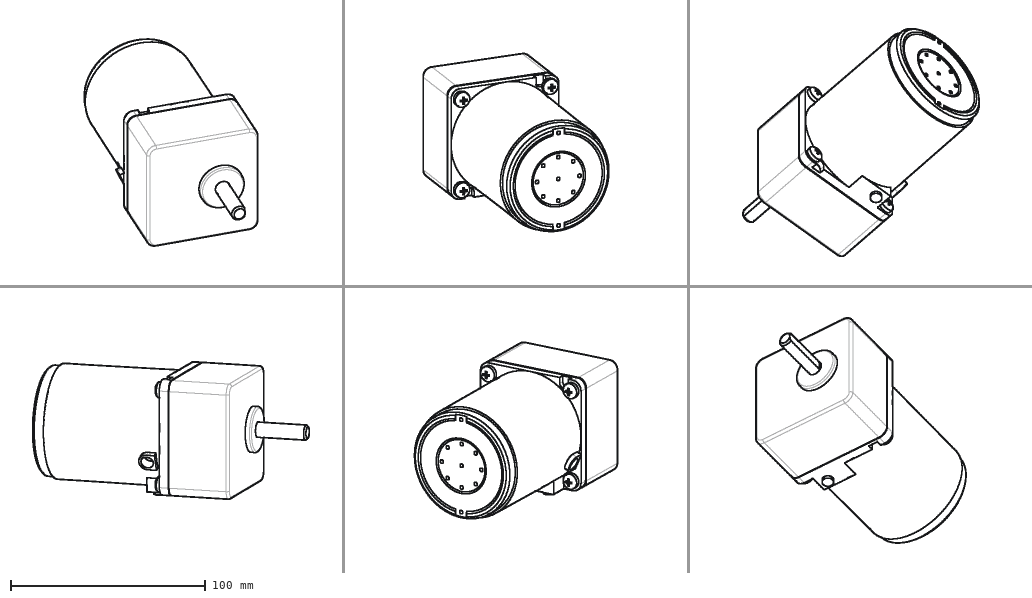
import cadquery as cq
import math


overall_length = 137.0
cap_length = 6.7
barrel_length = 62.9
flange_thickness = 5.0
gearhead_length = 32.5
boss_height = 3.0
flange_back = cap_length + barrel_length
gearhead_back = flange_back + flange_thickness
gearhead_front = gearhead_back + gearhead_length
boss_front = gearhead_front + boss_height

frame_size = 60.5
corner_radius = 5.0
joint_chamfer = 0.3
front_edge_radius = 1.4

barrel_small_radius = 30.0
barrel_large_radius = frame_size / 2
cavity_radius = 26.6
cap_radius = 28.8
cap_chamfer = 1.4
dish_rim_radius = 25.6
dish_floor_radius = 24.5
dish_depth = 0.4
centre_dish_rim_radius = 15.1
centre_dish_floor_radius = 14.1
centre_dish_depth = 0.4
channel_width = 6.6
dimple_radius = 1.0
dimple_depth = 1.0
dimple_circle_radius = 11.9
dimple_count = 8
channel_dimple_offset = 25.3

screw_offset = 24.8
head_radius = 4.1
head_rim = 2.0
head_height = 3.8
shank_radius = 2.0
shank_length = 16.5
recess_span = 4.4
recess_width = 0.8
recess_depth = 2.2

notch_depth = 3.0
notch_inner = 17.4
notch_outer = 22.7
notch_corner_radius = 2.5
notch_clearance_radius = 3.0

lug_length = 10.1
lug_side = 19.9
earth_screw_x = 64.4
earth_screw_y = -14.1
earth_head_radius = 3.0
earth_head_rim = 1.6
earth_head_height = 2.5
earth_shank_radius = 1.5
earth_shank_length = 5.5

outlet_x = 62.9
outlet_tilt = 23.0
outlet_face_distance = 32.6
outlet_root_distance = 24.7
outlet_radius = 4.5
outlet_straight = 4.5
outlet_hole_radius = 3.3

shaft_y = 9.7
shaft_radius = 4.0
shaft_flat = 3.0
shaft_full_round = 0.5
shaft_seat_depth = 11.0
shaft_chamfer = 1.0
boss_radius = 11.9
boss_edge_radius = 0.8

SCREW_PLACES = [(y, z) for y in (-screw_offset, screw_offset) for z in (-screw_offset, screw_offset)]


def plane_at(x, y=0.0, z=0.0):
    """Plane facing +X whose local axes are Y and Z."""
    return cq.Plane(origin=(x, y, z), xDir=(0, 1, 0), normal=(1, 0, 0))


def x_cylinder(x, length, radius, y=0.0, z=0.0):
    return cq.Workplane(plane_at(x, y, z)).circle(radius).extrude(length)


def x_cone(x, length, start_radius, end_radius):
    """Frustum or pointed cone along +X, centred on the motor axis."""
    profile = [(x, 0), (x, start_radius), (x + length, end_radius)]
    if end_radius > 0:
        profile.append((x + length, 0))
    return cq.Workplane("XY").polyline(profile).close().revolve(360, (0, 0, 0), (1, 0, 0))


def frame_block(x, length):
    block = cq.Workplane(plane_at(x)).rect(frame_size, frame_size).extrude(length)
    return block.edges("|X").fillet(corner_radius)


def screw_shank_holes():
    """Tools for the four holes that take the flange screw shanks."""
    centres = cq.Workplane(plane_at(flange_back)).pushPoints(SCREW_PLACES)
    return centres.circle(shank_radius).extrude(shank_length)



def dimple_places():
    """Centre and circle in the centre dish, plus one dimple in each end of the channel."""
    centre_floor = dish_depth + centre_dish_depth
    places = [(centre_floor, 0, 0)]
    for i in range(dimple_count):
        angle = 2 * math.pi * i / dimple_count
        y = dimple_circle_radius * math.cos(angle)
        z = dimple_circle_radius * math.sin(angle)
        places.append((centre_floor, y, z))
    places += [(dish_depth, 0, z) for z in (-channel_dimple_offset, channel_dimple_offset)]
    return places


def make_end_cap():
    cap = x_cylinder(0, cap_length, cap_radius).faces("<X").edges().chamfer(cap_chamfer)
    cap = cap.cut(x_cone(0, dish_depth, dish_rim_radius, dish_floor_radius))
    cap = cap.cut(cq.Workplane(plane_at(0)).rect(channel_width, 2 * cap_radius).extrude(dish_depth))
    cap = cap.cut(x_cone(dish_depth, centre_dish_depth, centre_dish_rim_radius, centre_dish_floor_radius))
    for place in dimple_places():
        cap = cap.cut(x_cone(0, dimple_depth, dimple_radius, 0).translate(place))
    return cap


def make_notch():
    """Recess in the flange, open at the +Z edge, that runs into the screw at (-Y, +Z)."""
    height = frame_size / 2 - screw_offset
    width = notch_outer - notch_inner
    slot = (
        cq.Workplane(plane_at(flange_back, -(notch_inner + notch_outer) / 2, screw_offset + height / 2))
        .rect(width, height)
        .extrude(notch_depth)
        .edges("|X and >Y and <Z")
        .fillet(notch_corner_radius)
    )
    clearance = x_cylinder(flange_back, notch_depth, notch_clearance_radius, -screw_offset, screw_offset)
    return slot.union(clearance)


def make_flange():
    flange = frame_block(flange_back, flange_thickness)
    notch = make_notch()
    flange = flange.cut(notch)
    return flange.cut(notch.rotate((0, 0, 0), (1, 0, 0), 180))


def make_earth_lug():
    """Block that fills the space between the barrel and the level of the flange underside."""
    lug_height = frame_size / 2
    lug = cq.Workplane("XY").box(lug_length, lug_side, lug_height, centered=False)
    return lug.translate((flange_back - lug_length, -lug_side, -lug_height))


def outlet_plane(distance):
    """Plane facing outward along the outlet axis, at a distance from the motor axis."""
    tilt = math.radians(outlet_tilt)
    outward = (0, -math.cos(tilt), -math.sin(tilt))
    origin = (outlet_x, distance * outward[1], distance * outward[2])
    return cq.Plane(origin=origin, xDir=(1, 0, 0), normal=outward)


def make_cable_outlet():
    """Hood that is round at the cap end and square at the flange end."""
    return (
        cq.Workplane(outlet_plane(outlet_root_distance))
        .moveTo(0, outlet_radius)
        .lineTo(outlet_straight, outlet_radius)
        .lineTo(outlet_straight, -outlet_radius)
        .lineTo(0, -outlet_radius)
        .threePointArc((-outlet_radius, 0), (0, outlet_radius))
        .close()
        .extrude(outlet_face_distance - outlet_root_distance)
    )


def make_outlet_hole():
    """Hole from the outlet face into the hollow inside of the barrel."""
    return cq.Workplane(outlet_plane(0)).circle(outlet_hole_radius).extrude(outlet_face_distance)


def make_motor():
    """Hollow barrel, closed by the end cap at the back and by the flange at the front."""
    motor = x_cone(cap_length, barrel_length, barrel_small_radius, barrel_large_radius)
    motor = motor.union(make_end_cap()).union(make_flange())
    motor = motor.union(make_earth_lug()).union(make_cable_outlet())
    cavity = x_cylinder(cap_length, barrel_length, cavity_radius)
    motor = motor.cut(cavity).cut(make_outlet_hole())
    return motor.cut(screw_shank_holes()).cut(make_earth_screw())



def make_gearhead():
    gearhead = frame_block(gearhead_back, gearhead_length)
    gearhead = gearhead.faces(">X").edges().fillet(front_edge_radius)
    gearhead = gearhead.faces("<X").edges().chamfer(joint_chamfer)
    boss = x_cylinder(gearhead_front, boss_height, boss_radius, shaft_y)
    gearhead = gearhead.union(boss.faces(">X").edges().fillet(boss_edge_radius))
    shaft_seat = x_cylinder(boss_front - shaft_seat_depth, shaft_seat_depth, shaft_radius, shaft_y)
    return gearhead.cut(shaft_seat).cut(screw_shank_holes())



def make_shaft():
    back = boss_front - shaft_seat_depth
    shaft = x_cylinder(back, overall_length - back, shaft_radius, shaft_y)
    shaft = shaft.faces(">X").edges().chamfer(shaft_chamfer)
    flat_start = boss_front + shaft_full_round
    flat_cut = cq.Workplane("XY").box(
        overall_length - flat_start, shaft_radius, 2 * shaft_radius, centered=(False, False, True)
    )
    return shaft.cut(flat_cut.translate((flat_start, shaft_y + shaft_flat, 0)))



def make_pan_head_screw(radius, rim, height, shank, length):
    """Screw along +X with the underside of its domed head at X = 0."""
    dome_rise = height - rim
    sphere_radius = (radius**2 + dome_rise**2) / (2 * dome_rise)
    half_angle = math.asin(radius / sphere_radius) / 2
    dome_middle = (
        -height + sphere_radius * (1 - math.cos(half_angle)),
        sphere_radius * math.sin(half_angle),
    )
    return (
        cq.Workplane("XY")
        .moveTo(-height, 0)
        .threePointArc(dome_middle, (-rim, radius))
        .lineTo(0, radius)
        .lineTo(0, shank)
        .lineTo(length, shank)
        .lineTo(length, 0)
        .close()
        .revolve(360, (0, 0, 0), (1, 0, 0))
    )



def make_cross_recess():
    """Two crossed arms that narrow towards the bottom of the recess."""
    top = -head_height
    bottom = top + recess_depth
    profile = [
        (top, -recess_span / 2),
        (top, recess_span / 2),
        (bottom, recess_width / 2),
        (bottom, -recess_width / 2),
    ]
    arm = cq.Workplane("XY").polyline(profile).close().extrude(recess_width / 2, both=True)
    return arm.union(arm.rotate((0, 0, 0), (1, 0, 0), 90))


def make_flange_screw(y, z):
    screw = make_pan_head_screw(head_radius, head_rim, head_height, shank_radius, shank_length)
    return screw.cut(make_cross_recess()).translate((flange_back, y, z))



def make_earth_screw():
    """Plain screw driven upwards into the underside of the lug."""
    screw = make_pan_head_screw(
        earth_head_radius, earth_head_rim, earth_head_height, earth_shank_radius, earth_shank_length
    )
    upright = screw.rotate((0, 0, 0), (0, 1, 0), -90)
    return upright.translate((earth_screw_x, earth_screw_y, -frame_size / 2))


motor = make_motor()
gearhead = make_gearhead()
shaft = make_shaft()
earth_screw = make_earth_screw()
flange_screws = [make_flange_screw(y, z) for y, z in SCREW_PLACES]

result = cq.Compound.makeCompound(
    [
        motor.val(),
        gearhead.val(),
        shaft.val(),
        earth_screw.val(),
        *[screw.val() for screw in flange_screws],
    ]
)